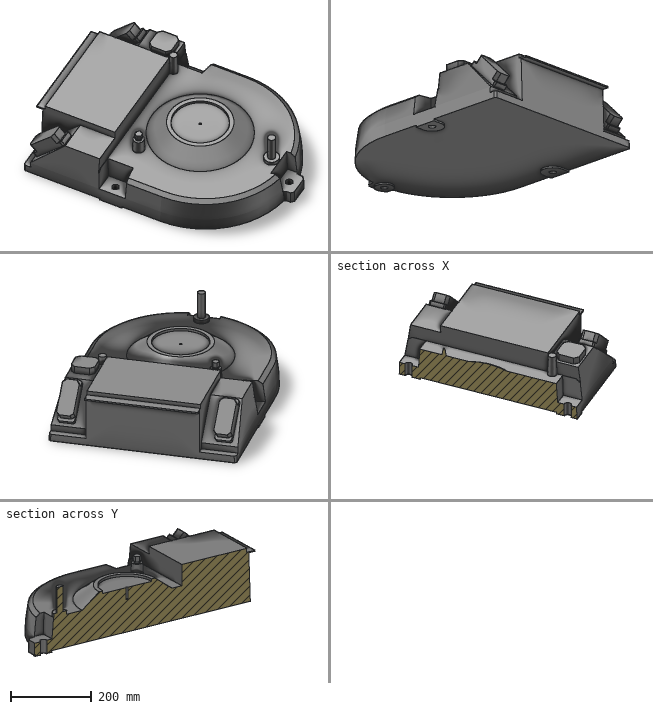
import cadquery as cq
import math


half_width = 241.5
base_height = 32.5
base_draft = 2.0
wall_draft = 8.0
shoulder_z = 80.0
deck_z = 88.5
shoulder_inset = 12.0
back_x = -177.5
base_inset = base_height * math.tan(math.radians(base_draft))
shoulder_x = -364.5

foot_x = -384.0
foot_height = 18.5
foot_chamfer = 5.0
box_half_width = 146.0
box_top_z = 145.0
box_front_x = -373.0
lip_x = -397.0
lip_bottom_z = 131.0
lip_top_z = 135.0

wing_top_z = 125.0
wing_slope_top_x = -274.5
slope_angle = 45.0

button_x = -216.0
button_y = 192.0
button_size = 61.0
button_chamfer = 10.5
button_top_z = 143.0
stub_x = -173.0
stub_y = 159.0
stub_base_radius = 12.0
stub_top_radius = 10.0

cone_x = -14.5
cone_base_radius = 135.0
cone_top_radius = 84.0
cone_top_z = 127.0
dish_radius = 72.5
dish_depth = 6.5
center_hole_radius = 2.5

fixing_hole_radius = 9.0
side_fixing_x = -139.0
side_fixing_y = 216.0
side_pad_radius = 31.0
tab_fixing_x = 235.0
tab_pad_radius = 25.0
pad_height = 4.5

tab_end_x = 263.5
tab_half_width = 34.0
tab_root_x = 246.0
tab_corner_x = 256.0
tab_end_half_width = 26.0

side_pocket_left = (-172.0, -177.0)
side_pocket_right_inner = (-108.0, -106.0)
side_pocket_right_outer = (-99.0, -97.0)
side_pocket_inner_y = (189.5, 185.5)
tab_pocket_left = (210.5, 206.0)
tab_pocket_half_width = (37.5, 41.5)

post_x = -125.0
post_y = -119.5
post_base_radius = 16.0
post_top_radius = 14.0
post_top_z = 123.0
neck_radius = 8.0
neck_top_z = 127.0
head_across_flats = 17.0
head_top_z = 141.0

shaft_x = 185.5
shaft_radius = 10.0
shaft_top_z = 166.5
flange_radius = 20.0
flange_top_z = 98.5

connector_y = 202.0
connector_width = 43.5
connector_below_edge = 63.0
plate_length = 111.0
plate_height = 12.5
plate_chamfer = 4.0
plug_length = 95.0
plug_height = 24.0
plug_chamfer = 8.0


def round_ended(z, left_x, inset=0.0):
    """D-shaped plan outline, straight at left_x and round about the origin."""
    half = half_width - inset
    return (
        cq.Workplane("XY", origin=(0, 0, z))
        .moveTo(left_x, -half)
        .lineTo(0, -half)
        .threePointArc((half, 0), (0, half))
        .lineTo(left_x, half)
        .close()
    )


def cylinder(x, y, z_bottom, z_top, radius):
    return cq.Workplane("XY", origin=(x, y, z_bottom)).circle(radius).extrude(z_top - z_bottom)


def tapered_post(x, y, z_bottom, z_top, bottom_radius, top_radius):
    height = z_top - z_bottom
    cone = cq.Solid.makeCone(bottom_radius, top_radius, height, cq.Vector(x, y, z_bottom))
    return cq.Workplane(cone)


def make_base():
    """Drafted base plate, stepped down to a foot along its -X end."""
    plate = (
        round_ended(0, foot_x)
        .extrude(base_height, taper=base_draft)
        .faces("<X")
        .edges("not |Y")
        .chamfer(foot_chamfer)
    )
    step_length = shoulder_x - foot_x
    step = (
        cq.Workplane("XY", origin=(shoulder_x - step_length / 2, 0, foot_height))
        .rect(step_length, 2 * half_width)
        .extrude(base_height - foot_height)
    )
    return plate.cut(step)


def make_body():
    """Drafted round-ended body with a sloping shoulder; its straight end lies inside the wings."""
    left_x = (shoulder_x + back_x) / 2
    wall_height = shoulder_z - base_height
    wall_inset = wall_height * math.tan(math.radians(wall_draft))
    wall = round_ended(base_height, left_x, base_inset).extrude(wall_height, taper=wall_draft)
    shoulder_height = deck_z - shoulder_z
    shoulder_angle = math.degrees(math.atan(shoulder_inset / shoulder_height))
    shoulder = round_ended(shoulder_z, left_x + wall_inset, base_inset + wall_inset)
    return wall.union(shoulder.extrude(shoulder_height, taper=shoulder_angle))


def make_control_box():
    lean = lip_bottom_z * math.tan(math.radians(base_draft))
    outline = [
        (foot_x, 0),
        (foot_x + lean, lip_bottom_z),
        (lip_x, lip_bottom_z),
        (lip_x, lip_top_z),
        (box_front_x, lip_top_z),
        (box_front_x, box_top_z),
        (back_x, box_top_z),
        (back_x, 0),
    ]
    return cq.Workplane("XZ", origin=(0, box_half_width, 0)).polyline(outline).close().extrude(2 * box_half_width)


def make_wings():
    """Drafted block across the full width, cut off by the slope at its -X end."""
    height = wing_top_z - base_height
    inset = height * math.tan(math.radians(wall_draft))
    bottom_half = half_width - base_inset
    top_half = bottom_half - inset
    section = [
        (-bottom_half, base_height),
        (bottom_half, base_height),
        (top_half, wing_top_z),
        (-top_half, wing_top_z),
    ]
    block = cq.Workplane("YZ", origin=(shoulder_x, 0, 0)).polyline(section).close().extrude(back_x - shoulder_x)
    slope_bottom_z = wing_top_z - (wing_slope_top_x - shoulder_x) * math.tan(math.radians(slope_angle))
    above_slope = (
        cq.Workplane("XZ", origin=(0, half_width, 0))
        .polyline([(shoulder_x, slope_bottom_z), (wing_slope_top_x, wing_top_z), (shoulder_x, wing_top_z)])
        .close()
        .extrude(2 * half_width)
    )
    return block.cut(above_slope)


def make_button_block():
    return (
        cq.Workplane("XY", origin=(button_x, button_y, wing_top_z))
        .rect(button_size, button_size)
        .extrude(button_top_z - wing_top_z)
        .edges("|Z")
        .chamfer(button_chamfer)
    )


def make_dished_cone():
    cone = tapered_post(cone_x, 0, deck_z, cone_top_z, cone_base_radius, cone_top_radius)
    dish_floor_z = cone_top_z - dish_depth
    dish = cylinder(cone_x, 0, dish_floor_z, cone_top_z, dish_radius)
    center_hole = cylinder(cone_x, 0, deck_z, dish_floor_z, center_hole_radius)
    return cone.cut(dish).cut(center_hole)


def make_tab():
    root_half_width = tab_pocket_half_width[0]
    side = [
        (tab_fixing_x, root_half_width),
        (tab_root_x, tab_half_width),
        (tab_corner_x, tab_half_width),
        (tab_end_x, tab_end_half_width),
    ]
    mirrored_side = [(x, -y) for x, y in reversed(side)]
    outline = [(0, root_half_width)] + side + mirrored_side + [(0, -root_half_width)]
    return cq.Workplane("XY").polyline(outline).close().extrude(base_height, taper=base_draft)


def make_stub():
    return tapered_post(stub_x, stub_y, deck_z, box_top_z, stub_base_radius, stub_top_radius)


def make_post():
    """Tapered post carrying a round neck and a hexagonal head."""
    post = tapered_post(post_x, post_y, deck_z, post_top_z, post_base_radius, post_top_radius)
    neck = cylinder(post_x, post_y, post_top_z, neck_top_z, neck_radius)
    head = (
        cq.Workplane("XY", origin=(post_x, post_y, neck_top_z))
        .polygon(6, head_across_flats, circumscribed=True)
        .extrude(head_top_z - neck_top_z)
    )
    return post.union(neck).union(head)


def make_shaft():
    flange = cylinder(shaft_x, 0, deck_z, flange_top_z, flange_radius)
    return flange.union(cylinder(shaft_x, 0, flange_top_z, shaft_top_z, shaft_radius))


def pocket(floor_outline, deck_outline):
    return (
        cq.Workplane("XY", origin=(0, 0, base_height))
        .polyline(floor_outline)
        .close()
        .workplane(offset=deck_z - base_height)
        .polyline(deck_outline)
        .close()
        .loft(ruled=True)
    )


def make_side_pocket(side):
    """Open-sided pocket; side is +1 for the +Y wall and -1 for the -Y wall."""
    outlines = []
    for left, right_inner, right_outer, inner_y in zip(
        side_pocket_left, side_pocket_right_inner, side_pocket_right_outer, side_pocket_inner_y
    ):
        outlines.append(
            [
                (left, side * inner_y),
                (right_inner, side * inner_y),
                (right_outer, side * half_width),
                (left, side * half_width),
            ]
        )
    return pocket(*outlines)


def make_tab_pocket():
    outlines = []
    for left, half in zip(tab_pocket_left, tab_pocket_half_width):
        outlines.append([(left, -half), (tab_end_x, -half), (tab_end_x, half), (left, half)])
    return pocket(*outlines)


def make_side_pad(side):
    """U-shaped pad, round inside and running out to the side wall."""
    wall_distance = half_width - side_fixing_y
    y = side * side_fixing_y
    disc = cylinder(side_fixing_x, y, -pad_height, 0, side_pad_radius)
    inner = (
        cq.Workplane("XY", origin=(side_fixing_x, y - side * side_pad_radius / 2, -pad_height))
        .rect(2 * side_pad_radius, side_pad_radius)
        .extrude(pad_height)
    )
    outer = (
        cq.Workplane("XY", origin=(side_fixing_x, y + side * wall_distance / 2, -pad_height))
        .rect(2 * side_pad_radius, wall_distance)
        .extrude(pad_height)
    )
    return disc.intersect(inner).union(outer)


def make_connector(y):
    """Plug on a longer plate, standing square on the slope."""
    slope = math.radians(slope_angle)
    center_x = wing_slope_top_x - connector_below_edge * math.cos(slope)
    center_z = wing_top_z - connector_below_edge * math.sin(slope)
    along_slope = cq.Vector(math.cos(slope), 0, math.sin(slope))
    outward = cq.Vector(-math.sin(slope), 0, math.cos(slope))
    face = cq.Workplane(cq.Plane(cq.Vector(center_x, y, center_z), along_slope, outward))
    plate = face.rect(plate_length, connector_width).extrude(plate_height)
    plate = plate.edges(cq.selectors.ParallelDirSelector(outward)).chamfer(plate_chamfer)
    plug = face.workplane(offset=plate_height).rect(plug_length, connector_width).extrude(plug_height)
    plug = plug.edges(cq.selectors.ParallelDirSelector(outward)).chamfer(plug_chamfer)
    return plate.union(plug)


def make_housing():
    housing = make_base().union(make_body()).union(make_control_box()).union(make_wings())
    housing = housing.union(make_tab()).union(make_button_block()).union(make_dished_cone())
    housing = housing.union(make_stub()).union(make_post()).union(make_shaft())
    housing = housing.cut(make_tab_pocket())
    housing = housing.union(cylinder(tab_fixing_x, 0, -pad_height, 0, tab_pad_radius))
    fixings = [(tab_fixing_x, 0)]
    for side in (-1, 1):
        housing = housing.cut(make_side_pocket(side)).union(make_side_pad(side))
        fixings.append((side_fixing_x, side * side_fixing_y))
    for x, y in fixings:
        housing = housing.cut(cylinder(x, y, -pad_height, base_height, fixing_hole_radius))
    return housing


housing = make_housing()
connectors = [make_connector(side * connector_y) for side in (-1, 1)]
result = cq.Compound.makeCompound([housing.val(), *[connector.val() for connector in connectors]])